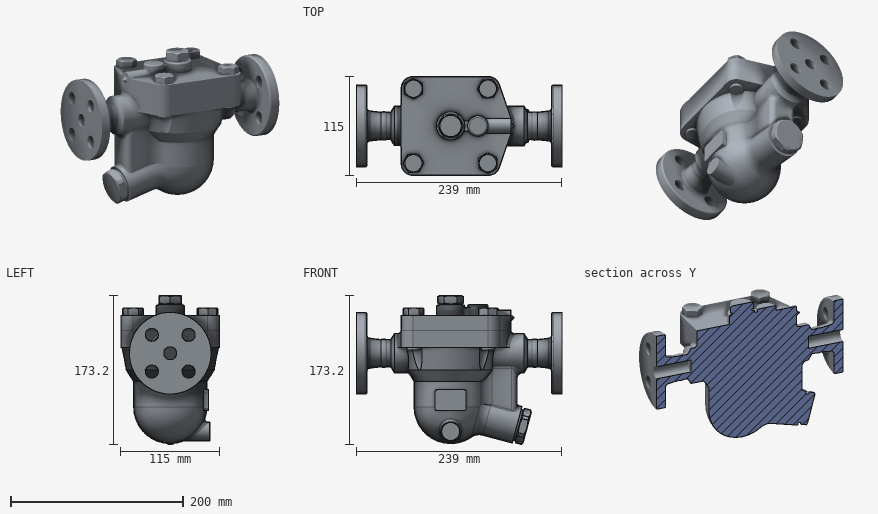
import cadquery as cq
import math


face_to_face = 239.0
pipe_mid_x = 10.0
flange_radius = 95.0 / 2
flange_thickness = 12.2
flange_edge_radius = 2.0
flange_hole_diameter = 15.0
flange_hole_count = 4
bolt_circle_diameter = 60.5
bore_diameter = 15.0
neck_radius = 16.0
neck_flange_radius = 17.5
neck_fillet = 3.5
weld_start = 28.5
weld_end = 35.0
weld_height = 0.6
hub_cone_start = 40.0
hub_start = 44.2
hub_radius = 46.0 / 2

plate_half = 57.5
plate_corner_radius = 14.0
plate_tip_x = 70.0
plate_tip_half_width = 9.2
plate_bottom_z = 6.8
plate_joint_z = 26.6
plate_top_z = 44.0
plate_hub_fillet = 3.5

bolt_pitch_half = 43.25
bolt_head_flats = 21.0
bolt_head_height = 8.8
bolt_head_turn = 2.0
bolt_end_diameter = 15.0
bolt_end_length = 3.0
bolt_clearance_radius = 10.0

plug_boss_top_z = 56.0
side_boss_top_z = 56.4
boss_rim_fillet = 2.0
plug_boss_radius = 33.0 / 2
side_boss_radius = 12.0
side_boss_x = 31.7
bridge_end_half_width = 7.4
bridge_waist_half_width = 5.8
bridge_top_z = 53.0
rib_radius = 9.0
rib_axis_z = 41.0
rib_tip_radius = 3.5
rib_tip_length = 3.9

top_plug_flats = 26.0
top_plug_height = 10.1
top_plug_collar_radius = 27.0 / 2
top_plug_collar_height = 1.0
side_plug_flats = 38.0
side_plug_round_radius = 20.8
side_plug_height = 9.8
side_plug_collar_radius = 37.0 / 2
side_plug_collar_height = 2.4
bevel_slope = math.tan(math.radians(30))
bevel_circle_share = 0.96

bowl_radius = 42.5
dome_center_z = -62.5
shoulder_bottom_z = -32.9
shoulder_top_z = -19.4
shoulder_radius = 51.2
bowl_top_radius = 56.2

pad_width = 36.0
pad_height = 24.4
pad_center_z = -54.6
pad_face_y = -44.6
pad_corner_radius = 2.5
drain_radius = 22.0 / 2
drain_z = -91.0
drain_face_y = -46.0
drain_chamfer = 0.5
drain_fillet = 3.0

nozzle_tilt = 15.0
nozzle_radius = 44.0 / 2
nozzle_length = 80.0
nozzle_fillet = 16.0
web_half_width = 17.0
web_end_x = 77.3
web_corner_radius = 6.5
web_bottom_z = -76.0
web_flare_radius = 16.0
web_hub_fillet = 6.0
web_nozzle_fillet = 2.5
flare_bottom_z = -66.0
web_split_z = -35.0
inner_x = 30.0

root_half = math.sqrt(0.5)
margin = 1.0


def cylinder_z(radius, x, y, bottom_z, top_z):
    return cq.Workplane("XY", origin=(x, y, bottom_z)).circle(radius).extrude(top_z - bottom_z)


def cylinder_x(radius, start_x, end_x, z=0.0):
    return cq.Workplane("YZ", origin=(start_x, 0, z)).circle(radius).extrude(end_x - start_x)


def corner_radius(flats):
    return flats / math.sqrt(3)


def hexagon_head(flats, outer_radius, height, bevel_both_ends):
    """Hexagon on Z = 0 with corners on X, trimmed to a round bevelled envelope."""
    bevel_radius = flats / 2 * bevel_circle_share
    bevel = (outer_radius - bevel_radius) * bevel_slope
    hexagon = cq.Workplane("XY").polygon(6, 2 * corner_radius(flats)).extrude(height)
    envelope = cq.Workplane("XZ")
    if bevel_both_ends:
        envelope = envelope.lineTo(bevel_radius, 0).lineTo(outer_radius, bevel)
    else:
        envelope = envelope.lineTo(outer_radius, 0)
    envelope = (
        envelope.lineTo(outer_radius, height - bevel)
        .lineTo(bevel_radius, height)
        .lineTo(0, height)
        .close()
        .revolve(360, (0, 0, 0), (0, 1, 0))
    )
    return hexagon.intersect(envelope)


def hexagon_plug(flats, outer_radius, height, collar_radius, collar_height):
    collar = cq.Workplane("XY").circle(collar_radius).extrude(collar_height)
    head = hexagon_head(flats, outer_radius, height, True).translate((0, 0, collar_height))
    return collar.union(head)


def flanged_end():
    """Flange, neck and hub with the flange face at X = 0, running along +X."""
    fillet_end = flange_thickness + neck_fillet
    edge_x = flange_thickness - flange_edge_radius
    arc_inset = flange_edge_radius * (1 - root_half)
    bend = neck_fillet * (1 - root_half)
    end = (
        cq.Workplane("XY")
        .lineTo(0, flange_radius)
        .lineTo(edge_x, flange_radius)
        .threePointArc(
            (flange_thickness - arc_inset, flange_radius - arc_inset),
            (flange_thickness, flange_radius - flange_edge_radius),
        )
        .lineTo(flange_thickness, neck_flange_radius + neck_fillet)
        .threePointArc(
            (flange_thickness + bend, neck_flange_radius + bend),
            (fillet_end, neck_flange_radius),
        )
        .lineTo(weld_start, neck_radius)
        .threePointArc(
            ((weld_start + weld_end) / 2, neck_radius + weld_height),
            (weld_end, neck_radius),
        )
        .lineTo(hub_cone_start, neck_radius)
        .lineTo(hub_start, hub_radius)
        .lineTo(face_to_face / 2 - inner_x, hub_radius)
        .lineTo(face_to_face / 2 - inner_x, 0)
        .close()
        .revolve(360, (0, 0, 0), (1, 0, 0))
    )
    holes = (
        cq.Workplane("YZ")
        .polarArray(bolt_circle_diameter / 2, 45, 360, flange_hole_count)
        .circle(flange_hole_diameter / 2)
        .extrude(flange_thickness)
    )
    return end.cut(holes)


def pipe_ends():
    inlet = flanged_end().translate((pipe_mid_x - face_to_face / 2, 0, 0))
    outlet = flanged_end().rotate((0, 0, 0), (0, 0, 1), 180).translate((pipe_mid_x + face_to_face / 2, 0, 0))
    return inlet.union(outlet)


def pipe_bores():
    """Blind bores running from each flange face to the hub."""
    start_x = pipe_mid_x - face_to_face / 2
    end_x = pipe_mid_x + face_to_face / 2
    inlet = cylinder_x(bore_diameter / 2, start_x, start_x + hub_start)
    outlet = cylinder_x(bore_diameter / 2, end_x - hub_start, end_x)
    return inlet.union(outlet)


def plate(bottom_z, top_z):
    """Square plate with rounded corners, tapering to a blunt tip on the +X side."""
    corner = plate_half - plate_corner_radius
    run = plate_tip_x - corner
    rise = corner - plate_tip_half_width
    tangent_angle = math.acos(plate_corner_radius / math.hypot(run, rise)) - math.atan2(rise, run)
    tangent_x = corner + plate_corner_radius * math.cos(tangent_angle)
    tangent_y = corner + plate_corner_radius * math.sin(tangent_angle)
    mid_angle = (tangent_angle + math.pi / 2) / 2
    mid_x = corner + plate_corner_radius * math.cos(mid_angle)
    mid_y = corner + plate_corner_radius * math.sin(mid_angle)
    left_mid = corner + plate_corner_radius * root_half
    return (
        cq.Workplane("XY", origin=(0, 0, bottom_z))
        .moveTo(plate_tip_x, -plate_tip_half_width)
        .lineTo(plate_tip_x, plate_tip_half_width)
        .lineTo(tangent_x, tangent_y)
        .threePointArc((mid_x, mid_y), (corner, plate_half))
        .lineTo(-corner, plate_half)
        .threePointArc((-left_mid, left_mid), (-plate_half, corner))
        .lineTo(-plate_half, -corner)
        .threePointArc((-left_mid, -left_mid), (-corner, -plate_half))
        .lineTo(corner, -plate_half)
        .threePointArc((mid_x, -mid_y), (tangent_x, -tangent_y))
        .close()
        .extrude(top_z - bottom_z)
    )


def body_flange():
    """Body flange blended into the pipe hubs; cut flat at the underside."""
    depth = hub_radius + 2 * plate_hub_fillet
    hub_start_x = pipe_mid_x - face_to_face / 2 + hub_start
    hub_end_x = pipe_mid_x + face_to_face / 2 - hub_start
    block = plate(-depth, plate_joint_z).union(cylinder_x(hub_radius, hub_start_x, hub_end_x))
    around_hubs = cq.selectors.BoxSelector(
        (-plate_half - margin, -hub_radius - margin, -hub_radius - margin),
        (plate_tip_x + margin, hub_radius + margin, hub_radius + margin),
        boundingbox=True,
    )
    block = block.edges("%CIRCLE or %ELLIPSE").edges(around_hubs).fillet(plate_hub_fillet)
    upper = cq.Workplane("XY", origin=(0, 0, plate_bottom_z)).rect(face_to_face, face_to_face).extrude(depth)
    return block.intersect(upper)


def bolt_centers():
    pitches = (-bolt_pitch_half, bolt_pitch_half)
    return [(x, y) for x in pitches for y in pitches]


def cover():
    """Cover plate with its bosses and bolt heads."""
    lid = plate(plate_joint_z, plate_top_z).union(cover_bosses())
    outer_radius = corner_radius(bolt_head_flats)
    for x, y in bolt_centers():
        turn = bolt_head_turn if x == y else bolt_head_turn + 30
        head = hexagon_head(bolt_head_flats, outer_radius, bolt_head_height, False)
        head = head.rotate((0, 0, 0), (0, 0, 1), turn)
        lid = lid.union(head.translate((x, y, plate_top_z)))
    return lid


def bolt_ends():
    """Bolt ends standing out below the body flange."""
    return (
        cq.Workplane("XY", origin=(0, 0, plate_bottom_z))
        .pushPoints(bolt_centers())
        .circle(bolt_end_diameter / 2)
        .extrude(-bolt_end_length)
    )


def boss_bridge():
    """Waisted bridge between the two bosses."""
    start_x = math.sqrt(plug_boss_radius**2 - bridge_end_half_width**2)
    end_x = side_boss_x - math.sqrt(side_boss_radius**2 - bridge_end_half_width**2)
    mid_x = (start_x + end_x) / 2
    return (
        cq.Workplane("XY", origin=(0, 0, plate_top_z))
        .lineTo(start_x, -bridge_end_half_width)
        .threePointArc((mid_x, -bridge_waist_half_width), (end_x, -bridge_end_half_width))
        .lineTo(side_boss_x, 0)
        .lineTo(end_x, bridge_end_half_width)
        .threePointArc((mid_x, bridge_waist_half_width), (start_x, bridge_end_half_width))
        .close()
        .extrude(bridge_top_z - plate_top_z)
    )


def cover_bosses():
    plug_boss = cylinder_z(plug_boss_radius, 0, 0, plate_top_z, plug_boss_top_z)
    side_boss = cylinder_z(side_boss_radius, side_boss_x, 0, plate_top_z, side_boss_top_z)
    rib = cylinder_x(rib_radius, side_boss_x, plate_tip_x, rib_axis_z)
    tip = cq.Workplane(
        cq.Solid.makeCone(
            rib_tip_radius, 0, rib_tip_length,
            cq.Vector(plate_tip_x, 0, rib_axis_z), cq.Vector(1, 0, 0),
        )
    )
    plug = hexagon_plug(
        top_plug_flats,
        corner_radius(top_plug_flats),
        top_plug_height,
        top_plug_collar_radius,
        top_plug_collar_height,
    )
    bosses = plug_boss.faces(">Z").edges().fillet(boss_rim_fillet)
    bosses = bosses.union(side_boss.faces(">Z").edges().fillet(boss_rim_fillet))
    bosses = bosses.union(boss_bridge()).union(rib).union(tip)
    return bosses.union(plug.translate((0, 0, plug_boss_top_z)))


def bowl():
    """Domed bowl with a widening top, the drain boss and bolt clearances."""
    dome_mid = bowl_radius * root_half
    shell = (
        cq.Workplane("XZ")
        .moveTo(0, dome_center_z - bowl_radius)
        .threePointArc((dome_mid, dome_center_z - dome_mid), (bowl_radius, dome_center_z))
        .lineTo(bowl_radius, shoulder_bottom_z)
        .lineTo(shoulder_radius, shoulder_top_z)
        .lineTo(bowl_top_radius, plate_bottom_z)
        .lineTo(0, plate_bottom_z)
        .close()
        .revolve(360, (0, 0, 0), (0, 1, 0))
    )
    drain = cq.Workplane("XZ", origin=(0, drain_face_y, drain_z)).circle(drain_radius)
    drain = drain.extrude(drain_face_y + drain_radius)
    drain = drain.faces("<Y").edges().chamfer(drain_chamfer)
    shell = shell.union(drain)
    reach = drain_radius + margin
    around_drain = cq.selectors.BoxSelector(
        (-reach, drain_face_y + 2 * drain_chamfer, drain_z - reach),
        (reach, 0, drain_z + reach),
        boundingbox=True,
    )
    shell = shell.edges(around_drain).edges("not %LINE").fillet(drain_fillet)
    for x, y in bolt_centers():
        shell = shell.cut(cylinder_z(bolt_clearance_radius, x, y, shoulder_top_z, plate_bottom_z))
    return shell


def label_pad():
    pad = cq.Workplane("XZ", origin=(0, pad_face_y, pad_center_z)).rect(pad_width, pad_height)
    return pad.extrude(pad_face_y / 2).edges("|Y").fillet(pad_corner_radius)


def tilted(part):
    """Move a part built along +Z at the origin onto the nozzle axis."""
    return part.rotate((0, 0, 0), (0, 1, 0), 90 + nozzle_tilt).translate((0, 0, dome_center_z))


def nozzle():
    """Nozzle blended into the dome by a round fillet, closed by a hexagon plug."""
    blend_offset = nozzle_radius + nozzle_fillet
    blend_distance = bowl_radius + nozzle_fillet
    blend_end = math.sqrt(blend_distance**2 - blend_offset**2)
    dome_share = bowl_radius / blend_distance
    blend_angle = (math.pi + math.atan2(blend_offset, blend_end) + 1.5 * math.pi) / 2
    barrel = (
        cq.Workplane("XY")
        .lineTo(0, blend_offset * dome_share)
        .lineTo(blend_end * dome_share, blend_offset * dome_share)
        .threePointArc(
            (
                blend_end + nozzle_fillet * math.cos(blend_angle),
                blend_offset + nozzle_fillet * math.sin(blend_angle),
            ),
            (blend_end, nozzle_radius),
        )
        .lineTo(nozzle_length, nozzle_radius)
        .lineTo(nozzle_length, 0)
        .close()
        .revolve(360, (0, 0, 0), (1, 0, 0))
        .rotate((0, 0, 0), (0, 1, 0), nozzle_tilt)
        .translate((0, 0, dome_center_z))
    )
    plug = hexagon_plug(
        side_plug_flats,
        side_plug_round_radius,
        side_plug_height,
        side_plug_collar_radius,
        side_plug_collar_height,
    )
    return barrel.union(tilted(plug.translate((0, 0, nozzle_length))))


def web():
    """Upright web joining the outlet hub to the nozzle, filleted to both."""
    length = web_end_x - inner_x
    wall = cq.Workplane("XY", origin=(inner_x + length / 2, 0, web_bottom_z))
    wall = wall.rect(length, 2 * web_half_width).extrude(-web_bottom_z)
    wall = wall.edges("|Z").fillet(web_corner_radius)
    hub = cylinder_x(hub_radius, 0, pipe_mid_x + face_to_face / 2 - hub_start)
    barrel = tilted(cylinder_z(nozzle_radius, 0, 0, 0, nozzle_length))
    joined = wall.union(hub).union(barrel)
    for bottom_z, top_z, radius in (
        (dome_center_z - nozzle_radius, web_split_z, web_nozzle_fillet),
        (web_split_z, -margin, web_hub_fillet),
    ):
        around_joint = cq.selectors.BoxSelector(
            (inner_x - margin, -web_half_width - margin, bottom_z),
            (web_end_x + margin, web_half_width + margin, top_z),
            boundingbox=True,
        )
        joined = joined.edges(around_joint).edges("not |Z").fillet(radius)
    return joined


def web_flare():
    """Concave flares where the web meets the bowl."""
    center_y = web_half_width + web_flare_radius
    center_x = math.sqrt((bowl_radius + web_flare_radius) ** 2 - center_y**2)
    bowl_share = bowl_radius / (bowl_radius + web_flare_radius)
    start_angle = math.pi + math.atan2(center_y, center_x)
    mid_angle = (start_angle + 1.5 * math.pi) / 2
    mid_x = center_x + web_flare_radius * math.cos(mid_angle)
    mid_y = center_y + web_flare_radius * math.sin(mid_angle)
    start = (center_x * bowl_share, center_y * bowl_share)
    return (
        cq.Workplane("XY", origin=(0, 0, flare_bottom_z))
        .moveTo(start[0], -start[1])
        .threePointArc((mid_x, -mid_y), (center_x, -web_half_width))
        .lineTo(center_x, web_half_width)
        .threePointArc((mid_x, mid_y), start)
        .close()
        .extrude(-flare_bottom_z)
    )


body = bowl()
for feature in (
    label_pad(),
    nozzle(),
    web_flare(),
    web(),
    pipe_ends(),
    body_flange(),
    bolt_ends(),
):
    body = body.union(feature)
body = body.cut(pipe_bores())

result = body.union(cover(), clean=False)